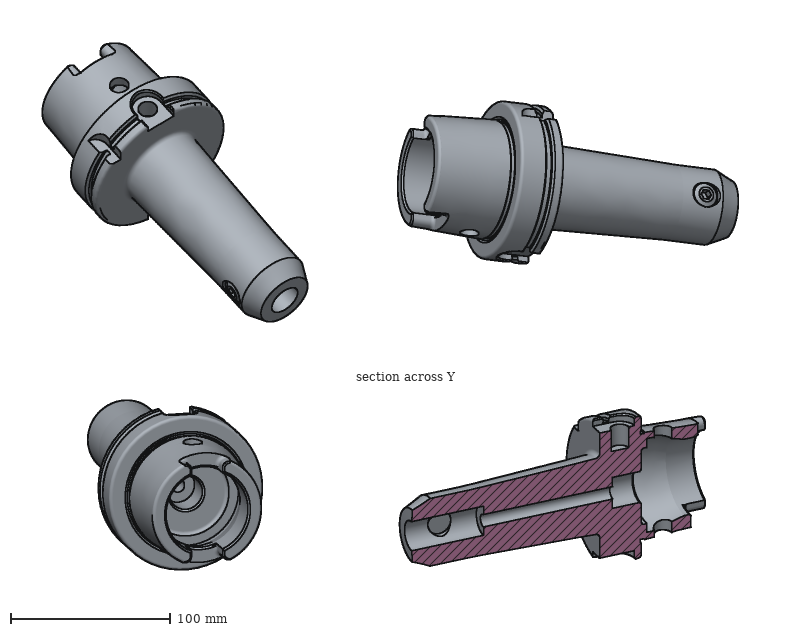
import cadquery as cq
import math

total_length = 210.0

taper_end_x = 47.7
taper_end_radius = 37.8
taper_slope = 1 / 20
mouth_edge_fillet = 2.0
relief_start_x = 48.3
relief_radius = 37.2
relief_depth = 0.6
relief_root_radius = 38.5
relief_outer_radius = 40.0

mouth_radius = 26.7
mouth_chamfer = 1.3
clamp_lip_length = 20.2
clamp_groove_radius = 32.8
clamp_groove_end_x = 46.2
clamp_flare_angle = 15.5
cavity_fillet = 2.0

coolant_seat_radius = 10.7
coolant_seat_chamfer = 1.3
coolant_seat_depth = 20.0
coolant_hole_radius = 4.2

tail_slot_width = 20.2
tail_slot_depth_top = 10.5
tail_slot_depth_bottom = 15.3
tail_flat_height = 32.0
tail_edge_radius = 4.0
tail_root_fillet = 2.5
tail_mouth_chamfer = 1.0
cross_hole_x = 34.9
cross_hole_diameter = 12.0

flange_start_x = 50.0
flange_end_x = 79.0
flange_radius = 50.0
flange_edge_fillet = 2.0
groove_center_x = 69.7
groove_floor_width = 3.8
groove_mouth_width = 6.3
groove_floor_radius = 46.2
groove_flank_depth = 1.9

key_slot_width = 20.0
key_slot_center_x = 64.9
key_slot_floor = 44.0
key_slot_chamfer = 1.0
coding_hole_diameter = 12.0
coding_hole_depth = 14.7
notch_offset = 31.3
notch_corner_x = 64.0
notch_corner_radius = 9.0

nose_base_radius = 26.9
nose_base_fillet = 3.0
nose_radius = 24.0
nose_taper_end_x = 170.0
nose_cone_x = 197.0
nose_end_radius = 18.3
nose_end_dish = 0.5
tool_bore_radius = 10.0
tool_bore_depth = 50.0

screw_x = 185.8
screw_radius = 8.0
screw_edge_radius = 7.1
screw_top_radius = 4.8
screw_top_y = -23.3
screw_bottom_y = -tool_bore_radius
screw_crown_angle = 30.0
hex_across_flats = 5.9
hex_depth = 6.0
countersink_radius = 9.2

beyond = 10.5
tolerance = 0.02


def turned(*points):
    """Solid of revolution about the X axis from an (x, radius) outline."""
    return cq.Workplane("XY").polyline(points).close().revolve(360, (0, 0, 0), (1, 0, 0))


def cylinder_x(start, end, radius):
    """Cylinder along the X axis."""
    return turned((start, 0), (end, 0), (end, radius), (start, radius))


def shank_form():
    """Outside of the tapered shank, with a rounded mouth edge."""
    mouth_outer_radius = taper_end_radius - taper_end_x * taper_slope
    cone = turned((0, 0), (taper_end_x, 0), (taper_end_x, taper_end_radius), (0, mouth_outer_radius))
    neck = turned(
        (taper_end_x, 0),
        (flange_end_x, 0),
        (flange_end_x, relief_radius),
        (relief_start_x, relief_radius),
        (taper_end_x, taper_end_radius),
    )
    return cone.faces("<X").edges().fillet(mouth_edge_fillet).union(neck)


def key_slot(side):
    """Round-ended slot open towards the nose; side is +1 for the top, -1 for the bottom."""
    slot_length = flange_end_x + beyond - key_slot_center_x
    floor = cq.Workplane("XY").workplane(offset=side * key_slot_floor)
    height = side * (flange_radius + beyond - key_slot_floor)
    round_end = floor.center(key_slot_center_x, 0).circle(key_slot_width / 2).extrude(height)
    straight = (
        floor.center(key_slot_center_x + slot_length / 2, 0).rect(slot_length, key_slot_width).extrude(height)
    )
    return round_end.union(straight)


def is_key_slot_rim(edge):
    """True for the edges where a key slot meets the outer cylinder of the flange."""
    middle = edge.positionAt(0.5)
    on_surface = math.isclose(math.hypot(middle.y, middle.z), flange_radius, abs_tol=tolerance)
    between_faces = flange_start_x + flange_edge_fillet + tolerance < middle.x < flange_end_x - tolerance
    return on_surface and between_faces and abs(middle.y) < key_slot_width


def flange_form():
    """Flange disc with its key slots, gripper groove, rounded edges and shank-side relief."""
    flange = cylinder_x(flange_start_x, flange_end_x, flange_radius)
    flange = flange.faces("<X").edges().fillet(flange_edge_fillet)
    for side in (1, -1):
        flange = flange.cut(key_slot(side))
    flange = flange.edges().filter(is_key_slot_rim).chamfer(key_slot_chamfer)
    return flange.cut(gripper_groove()).cut(front_edge_rounding()).cut(relief_ring())


def gripper_groove():
    """Ring cutter: straight groove with flared flanks at its mouth."""
    half_floor = groove_floor_width / 2
    half_mouth = groove_mouth_width / 2
    flank_radius = flange_radius - groove_flank_depth
    return turned(
        (groove_center_x - half_floor, groove_floor_radius),
        (groove_center_x - half_floor, flank_radius),
        (groove_center_x - half_mouth, flange_radius),
        (groove_center_x - half_mouth, flange_radius + beyond),
        (groove_center_x + half_mouth, flange_radius + beyond),
        (groove_center_x + half_mouth, flange_radius),
        (groove_center_x + half_floor, flank_radius),
        (groove_center_x + half_floor, groove_floor_radius),
    )


def front_edge_rounding():
    """Ring cutter that rounds the nose-side edge of the flange, across the key slots."""
    inner = flange_radius - flange_edge_fillet
    disc = cylinder_x(flange_start_x, flange_end_x, flange_radius)
    rounded_disc = disc.faces(">X").edges().fillet(flange_edge_fillet)
    ring = turned(
        (flange_end_x - flange_edge_fillet, inner),
        (flange_end_x, inner),
        (flange_end_x, flange_radius + beyond),
        (flange_end_x - flange_edge_fillet, flange_radius + beyond),
    )
    return ring.cut(rounded_disc)


def relief_ring():
    """Shallow ring cutter at the root of the shank taper."""
    return turned(
        (flange_start_x, relief_radius),
        (flange_start_x + relief_depth, relief_radius),
        (flange_start_x + relief_depth, relief_root_radius),
        (flange_start_x, relief_outer_radius),
    )


def orientation_notch():
    """Corner notch with one milled inside corner, open towards the nose."""
    length = flange_end_x + beyond - notch_corner_x + notch_corner_radius
    size = flange_radius
    block = cq.Workplane("XY").box(length, size, size, centered=False).translate(
        (notch_corner_x - notch_corner_radius, -notch_offset - size, notch_offset)
    )
    return block.edges("|Z and <X and >Y").fillet(notch_corner_radius)


def nose_form():
    """Slim tapered nose with a rounded base, a conical tip and a very flat conical end face."""
    arc_start_radius = nose_base_radius + nose_base_fillet
    arc_sag = nose_base_fillet * (1 - math.sqrt(0.5))
    arc_middle = (flange_end_x + arc_sag, nose_base_radius + arc_sag)
    arc_end = (flange_end_x + nose_base_fillet, nose_base_radius)
    return (
        cq.Workplane("XY")
        .moveTo(flange_end_x, 0)
        .lineTo(flange_end_x, arc_start_radius)
        .threePointArc(arc_middle, arc_end)
        .lineTo(nose_taper_end_x, nose_radius)
        .lineTo(nose_cone_x, nose_radius)
        .lineTo(total_length - nose_end_dish, nose_end_radius)
        .lineTo(total_length, tool_bore_radius)
        .lineTo(total_length, 0)
        .close()
        .revolve(360, (0, 0, 0), (1, 0, 0))
    )


def shank_cavity():
    """Bore with a mouth chamfer, an undercut clamping groove and a rounded floor."""
    flare = (clamp_groove_radius - mouth_radius) / math.tan(math.radians(clamp_flare_angle))
    bore = cylinder_x(-beyond, flange_start_x, mouth_radius).faces(">X").edges().fillet(cavity_fillet)
    chamfer = turned(
        (0, 0),
        (mouth_chamfer, 0),
        (mouth_chamfer, mouth_radius),
        (0, mouth_radius + mouth_chamfer),
    )
    groove = turned(
        (clamp_lip_length, 0),
        (clamp_groove_end_x, 0),
        (clamp_groove_end_x, clamp_groove_radius),
        (clamp_lip_length + flare, clamp_groove_radius),
        (clamp_lip_length, mouth_radius),
    )
    return bore.union(chamfer).union(groove)


def coolant_passage():
    """Chamfered coolant-tube seat, then a small hole through to the tool bore."""
    seat_end = flange_start_x + coolant_seat_depth
    seat = turned(
        (flange_start_x, 0),
        (seat_end, 0),
        (seat_end, coolant_seat_radius),
        (flange_start_x + coolant_seat_chamfer, coolant_seat_radius),
        (flange_start_x, coolant_seat_radius + coolant_seat_chamfer),
    )
    return seat.union(cylinder_x(seat_end, total_length, coolant_hole_radius))


def tool_bore():
    """Cylindrical bore for the tool shank, open at the nose end."""
    return cylinder_x(total_length - tool_bore_depth, total_length + beyond, tool_bore_radius)


def tail_slot_outline():
    """Slot section: narrow inside, opening outwards over rounded edges."""
    half = tail_slot_width / 2
    open_half = taper_end_radius
    open_top = taper_end_radius + beyond
    bend_start = tail_flat_height - tail_edge_radius
    bend = tail_edge_radius * (1 - math.sqrt(0.5))
    return (
        cq.Workplane("YZ")
        .moveTo(-half, 0)
        .lineTo(half, 0)
        .lineTo(half, bend_start)
        .threePointArc((half + bend, tail_flat_height - bend), (half + tail_edge_radius, tail_flat_height))
        .lineTo(open_half, tail_flat_height)
        .lineTo(open_half, open_top)
        .lineTo(-open_half, open_top)
        .lineTo(-open_half, tail_flat_height)
        .lineTo(-half - tail_edge_radius, tail_flat_height)
        .threePointArc((-half - bend, tail_flat_height - bend), (-half, bend_start))
        .close()
    )


def tail_slot(side, depth):
    """Drive slot in the shank mouth; side is +1 for the top, -1 for the bottom."""
    slot = tail_slot_outline().extrude(depth).faces(">X").edges().fillet(tail_root_fillet)
    mouth = tail_slot_outline().offset2D(tail_mouth_chamfer).extrude(tail_mouth_chamfer, taper=45)
    root_chamfer = turned(
        (depth, 0),
        (depth + mouth_chamfer, 0),
        (depth + mouth_chamfer, mouth_radius),
        (depth, mouth_radius + mouth_chamfer),
    )
    slot_zone = (
        cq.Workplane("YZ").rect(tail_slot_width, flange_radius, centered=(True, False)).extrude(flange_start_x)
    )
    slot = slot.union(mouth).union(root_chamfer.intersect(slot_zone))
    return slot if side > 0 else slot.mirror("XY")


def cross_hole():
    """Radial hole right through the shank wall, top and bottom."""
    return (
        cq.Workplane("XY")
        .center(cross_hole_x, 0)
        .circle(cross_hole_diameter / 2)
        .extrude(flange_radius, both=True)
    )


def coding_hole():
    """Blind hole in the floor of the top key slot."""
    return (
        cq.Workplane("XY")
        .workplane(offset=key_slot_floor)
        .center(key_slot_center_x, 0)
        .circle(coding_hole_diameter / 2)
        .extrude(-coding_hole_depth)
    )


def turned_across(*points):
    """Solid of revolution about the screw axis from a (radius, y) outline."""
    profile = cq.Workplane("XY").polyline(points).close()
    return profile.revolve(360, (0, 0, 0), (0, 1, 0)).translate((screw_x, 0, 0))


def screw_hole():
    """Countersunk radial hole into the tool bore."""
    countersink_depth = countersink_radius - screw_radius
    return turned_across(
        (0, 0),
        (screw_radius, 0),
        (screw_radius, -nose_radius + countersink_depth),
        (countersink_radius + beyond, -nose_radius - beyond),
        (0, -nose_radius - beyond),
    )


def make_holder():
    """Complete tool holder as one solid."""
    holder = shank_form().union(flange_form()).union(nose_form())
    holder = holder.cut(orientation_notch())
    holder = holder.cut(shank_cavity()).cut(coolant_passage()).cut(tool_bore())
    holder = holder.cut(tail_slot(1, tail_slot_depth_top)).cut(tail_slot(-1, tail_slot_depth_bottom))
    return holder.cut(cross_hole()).cut(coding_hole()).cut(screw_hole())


def make_clamping_screw():
    """Set screw with a chamfered top and a hexagon socket."""
    crown_height = (screw_edge_radius - screw_top_radius) * math.tan(math.radians(screw_crown_angle))
    crown_y = screw_top_y + crown_height
    screw = turned_across(
        (0, screw_bottom_y),
        (screw_radius, screw_bottom_y),
        (screw_radius, crown_y + screw_radius - screw_edge_radius),
        (screw_edge_radius, crown_y),
        (screw_top_radius, screw_top_y),
        (0, screw_top_y),
    )
    socket = (
        cq.Workplane("XZ", origin=(screw_x, screw_top_y, 0))
        .polygon(6, hex_across_flats / math.cos(math.pi / 6))
        .extrude(-hex_depth)
    )
    return screw.cut(socket)


holder = make_holder()
clamping_screw = make_clamping_screw()
result = cq.Compound.makeCompound([holder.val(), clamping_screw.val()])